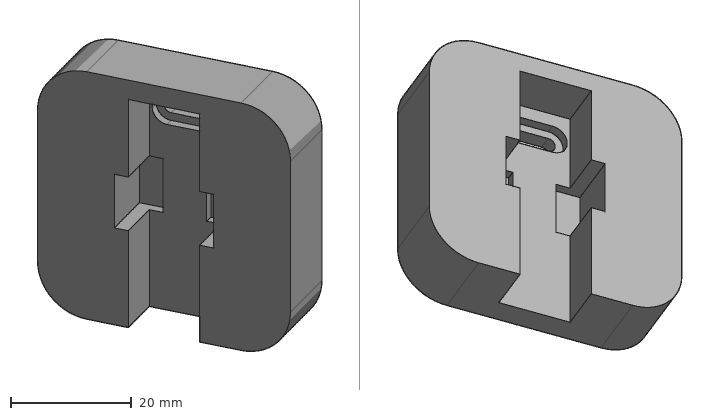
import cadquery as cq

side = 46.0
thickness = 12.8
corner_radius = 8.95

channel_width = 12.95
channel_depth = 8.5
channel_top = 19.4

pocket_width = 5.05
pocket_height = 10.0
pocket_depth = 10.15

opening_z = 14.2
opening_center_distance = 6.5
through_slot_height = 2.58
recess_height = 5.45
recess_depth = pocket_depth


def box_cut(width, height, depth, x, z):
    """Box reaching from the front face into the block, centred on x and z."""
    return cq.Workplane("XY").box(width, depth, height, centered=(True, False, True)).translate((x, 0, z))


def slot_cut(height, depth):
    """Round-ended horizontal slot reaching from the front face into the block."""
    length = opening_center_distance + height
    return cq.Workplane("XZ").center(0, opening_z).slot2D(length, height).extrude(-depth)


block = cq.Workplane("XZ").rect(side, side).extrude(-thickness).edges("|Y").fillet(corner_radius)

channel_height = channel_top + side / 2
channel_center_z = channel_top - channel_height / 2
result = block.cut(box_cut(channel_width, channel_height, channel_depth, 0, channel_center_z))

for wall_x in (-channel_width / 2, channel_width / 2):
    result = result.cut(box_cut(pocket_width, pocket_height, pocket_depth, wall_x, 0))

result = result.cut(slot_cut(recess_height, recess_depth))
result = result.cut(slot_cut(through_slot_height, thickness))